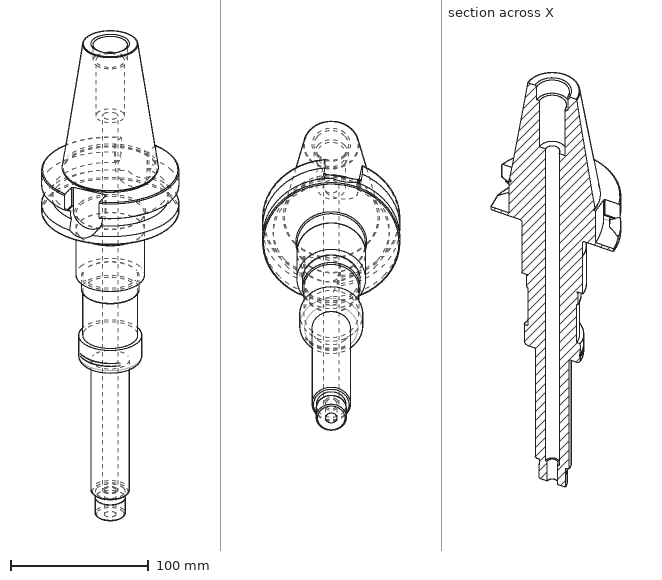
import cadquery as cq
import math

TOTAL_LENGTH = 391.3

GAUGE_DIA = 69.85
TAPER_RATIO = 7 / 24
TAPER_LENGTH = 101.8
TAPER_CHAMFER = 0.5
NECK_DIA = 68.0
NECK_HEIGHT = 1.0
TAPER_BOTTOM = -1.0

FLANGE_DIA = 100.0
FLANGE_TOP = -3.0
FLANGE_BOTTOM = -38.0
FLANGE_CHAMFER = 0.8
GROOVE_DIA = 84.4
GROOVE_WALL_ANGLE = 30.0
GROOVE_TOP = -15.9
GROOVE_BOTTOM = -31.0

SLOT_WIDTH = 25.7
SLOT_FLOOR_RADIUS = 35.4
SLOT_DEPTH = 31.5
UPPER_SLOT_WIDTH = 27.7
UPPER_SLOT_FLOOR_RADIUS = 35.9
UPPER_SLOT_END = -18.0

BODY_DIA = 50.0
BODY_RELIEF_DIA = 49.6
BODY_ROOT_CHAMFER = 1.0
BODY_RELIEF_END = -52.5
BODY_END = -90.5
SHOULDER_DIA = 42.0
SHOULDER_END = -103.5
NECK_BODY_DIA = 40.0
SHOULDER_CHAMFER = (SHOULDER_DIA - NECK_BODY_DIA) / 2
COLLAR_DIA = 46.0
COLLAR_TOP = -140.6
COLLAR_BOTTOM = -161.0
COLLAR_FILLET = 3.6

CRESCENT_TOP = -151.5
CRESCENT_BOTTOM = -153.9
CRESCENT_DEPTH = 0.5
CRESCENT_HALF_ANGLE = 44.0

ARBOR_DIA = 28.0
ARBOR_END = -270.4
ARBOR_CHAMFER = 1.1
TIP_DIA = 22.0
TIP_NECK_DIA = 21.6
TIP_NECK_LENGTH = 5.3
TIP_CHAMFER = 1.0
TIP_END = TAPER_LENGTH - TOTAL_LENGTH

PILOT_DIA = 25.0
PILOT_DEPTH = 14.0
PILOT_MOUTH_DIA = 28.0
PILOT_MOUTH_ANGLE = 60.0
DRAWBAR_DIA = 20.75
DRAWBAR_DEPTH = 60.0
COOLANT_DIA = 11.0
OUTLET_DIA = 8.38
OUTLET_LENGTH = 20.0


def revolve_profile(points):
    """Revolve a closed (diameter, z) outline about the Z axis."""
    outline = [(diameter / 2, z) for diameter, z in points]
    return cq.Workplane("XZ").polyline(outline).close().revolve(360, (0, 0, 0), (0, 1, 0))


def make_shank():
    top_dia = GAUGE_DIA - TAPER_LENGTH * TAPER_RATIO
    bottom_dia = GAUGE_DIA - TAPER_BOTTOM * TAPER_RATIO
    chamfer_dia = top_dia + TAPER_CHAMFER * TAPER_RATIO
    return revolve_profile([
        (0, FLANGE_TOP),
        (NECK_DIA, FLANGE_TOP),
        (NECK_DIA, FLANGE_TOP + NECK_HEIGHT),
        (bottom_dia, TAPER_BOTTOM),
        (chamfer_dia, TAPER_LENGTH - TAPER_CHAMFER),
        (top_dia - 2 * TAPER_CHAMFER, TAPER_LENGTH),
        (0, TAPER_LENGTH),
    ])


def make_flange():
    groove_depth = (FLANGE_DIA - GROOVE_DIA) / 2
    wall_height = groove_depth * math.tan(math.radians(GROOVE_WALL_ANGLE))
    rim_dia = FLANGE_DIA - 2 * FLANGE_CHAMFER
    return revolve_profile([
        (0, FLANGE_TOP),
        (rim_dia, FLANGE_TOP),
        (FLANGE_DIA, FLANGE_TOP - FLANGE_CHAMFER),
        (FLANGE_DIA, GROOVE_TOP),
        (GROOVE_DIA, GROOVE_TOP - wall_height),
        (GROOVE_DIA, GROOVE_BOTTOM + wall_height),
        (FLANGE_DIA, GROOVE_BOTTOM),
        (FLANGE_DIA, FLANGE_BOTTOM + FLANGE_CHAMFER),
        (rim_dia, FLANGE_BOTTOM),
        (0, FLANGE_BOTTOM),
    ])


def make_body():
    tip_neck_end = ARBOR_END - TIP_NECK_LENGTH
    return revolve_profile([
        (0, FLANGE_BOTTOM),
        (BODY_RELIEF_DIA + 2 * BODY_ROOT_CHAMFER, FLANGE_BOTTOM),
        (BODY_RELIEF_DIA, FLANGE_BOTTOM - BODY_ROOT_CHAMFER),
        (BODY_RELIEF_DIA, BODY_RELIEF_END),
        (BODY_DIA, BODY_RELIEF_END),
        (BODY_DIA, BODY_END),
        (NECK_BODY_DIA, BODY_END),
        (SHOULDER_DIA, BODY_END - SHOULDER_CHAMFER),
        (SHOULDER_DIA, SHOULDER_END + SHOULDER_CHAMFER),
        (NECK_BODY_DIA, SHOULDER_END),
        (NECK_BODY_DIA, COLLAR_TOP),
        (ARBOR_DIA, COLLAR_TOP),
        (ARBOR_DIA, ARBOR_END + ARBOR_CHAMFER),
        (ARBOR_DIA - 2 * ARBOR_CHAMFER, ARBOR_END),
        (TIP_NECK_DIA, ARBOR_END),
        (TIP_NECK_DIA, tip_neck_end),
        (TIP_DIA, tip_neck_end),
        (TIP_DIA, TIP_END + TIP_CHAMFER),
        (TIP_DIA - 2 * TIP_CHAMFER, TIP_END),
        (0, TIP_END),
    ])


def make_cylinder(radius, bottom, top, y=0.0):
    return cq.Workplane("XY", origin=(0, y, bottom)).circle(radius).extrude(top - bottom)


def make_collar():
    """Collar with a rounded lower rim and a groove that fades out towards both ends."""
    radius = COLLAR_DIA / 2
    collar = make_cylinder(radius, COLLAR_BOTTOM, COLLAR_TOP).edges("<Z").fillet(COLLAR_FILLET)
    fade_rise = radius * (1 - math.cos(math.radians(CRESCENT_HALF_ANGLE)))
    offset = CRESCENT_DEPTH * (COLLAR_DIA - CRESCENT_DEPTH) / (2 * (fade_rise - CRESCENT_DEPTH))
    floor_radius = radius - CRESCENT_DEPTH + offset
    floor = make_cylinder(floor_radius, CRESCENT_BOTTOM, CRESCENT_TOP, offset)
    groove = make_cylinder(COLLAR_DIA, CRESCENT_BOTTOM, CRESCENT_TOP).cut(floor)
    return collar.cut(groove)


def make_drive_slot():
    """Round-bottomed cutter for the slot on the -Y side."""
    half_width = SLOT_WIDTH / 2
    slot_bottom = FLANGE_TOP - SLOT_DEPTH
    arc_centre = slot_bottom + half_width
    return (
        cq.Workplane("XZ", origin=(0, -SLOT_FLOOR_RADIUS, 0))
        .moveTo(-half_width, 0)
        .lineTo(-half_width, arc_centre)
        .threePointArc((0, slot_bottom), (half_width, arc_centre))
        .lineTo(half_width, 0)
        .close()
        .extrude(FLANGE_DIA / 2)
    )


def make_upper_slot():
    """Wider, slightly shallower cutter for the slot through the upper rim on the -Y side."""
    centre_z = (FLANGE_TOP + UPPER_SLOT_END) / 2
    return (
        cq.Workplane("XZ", origin=(0, -UPPER_SLOT_FLOOR_RADIUS, centre_z))
        .rect(UPPER_SLOT_WIDTH, FLANGE_TOP - UPPER_SLOT_END)
        .extrude(FLANGE_DIA / 2)
    )


def make_bores():
    outlet_top = TIP_END + OUTLET_LENGTH
    mouth_widening = (PILOT_MOUTH_DIA - PILOT_DIA) / 2
    mouth_depth = mouth_widening / math.tan(math.radians(PILOT_MOUTH_ANGLE))
    return revolve_profile([
        (0, TAPER_LENGTH),
        (PILOT_MOUTH_DIA, TAPER_LENGTH),
        (PILOT_DIA, TAPER_LENGTH - mouth_depth),
        (PILOT_DIA, TAPER_LENGTH - PILOT_DEPTH),
        (DRAWBAR_DIA, TAPER_LENGTH - PILOT_DEPTH),
        (DRAWBAR_DIA, TAPER_LENGTH - DRAWBAR_DEPTH),
        (COOLANT_DIA, TAPER_LENGTH - DRAWBAR_DEPTH),
        (COOLANT_DIA, outlet_top),
        (OUTLET_DIA, outlet_top),
        (OUTLET_DIA, TIP_END),
        (0, TIP_END),
    ])


result = make_shank().union(make_flange()).union(make_body()).union(make_collar())
slot = make_drive_slot().union(make_upper_slot())
for angle in (0, 180):
    result = result.cut(slot.rotate((0, 0, 0), (0, 0, 1), angle))
result = result.cut(make_bores())